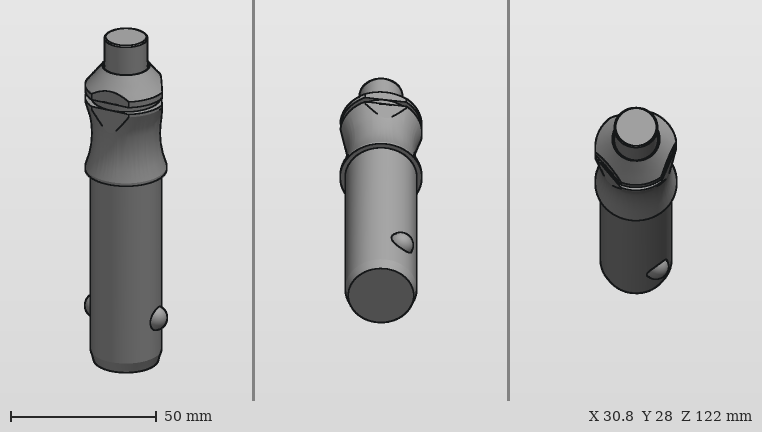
import cadquery as cq
import math

TOTAL_HEIGHT = 122.0
BODY_TAPER_HEIGHT = 4.0
GRIP_BOTTOM = 72.0
GRIP_TOP = 99.2
GRIP_RIM_HEIGHT = 1.1
HEAD_BOTTOM = 101.8
CONE_BOTTOM = 104.0
CONE_TOP = 110.2
HEAD_TOP = 111.3

BODY_RADIUS = 12.3
BODY_END_RADIUS = 11.2
RIM_RADIUS = 14.0
WAIST_RADIUS = 11.7
GROOVE_RADIUS = 12.0
CONE_TOP_RADIUS = 9.0
HEAD_TOP_RADIUS = 8.2
BUTTON_RADIUS = 7.5
BUTTON_CHAMFER = 0.5
BUTTON_BORE_RADIUS = 7.9
BUTTON_BORE_DEPTH = 1.0

FLAT_COUNT = 3
FLAT_DISTANCE = 12.1
FIRST_FLAT_ANGLE = -90.0

BALL_RADIUS = 4.4
BALL_REACH = 15.4
BALL_HEIGHT = 18.0


def grip_radius(height):
    """Radius of the concave grip, whose arc is tangent to the axis direction at the waist."""
    half_length = (GRIP_TOP - GRIP_BOTTOM) / 2 - GRIP_RIM_HEIGHT
    sag = RIM_RADIUS - WAIST_RADIUS
    arc_radius = (half_length**2 + sag**2) / (2 * sag)
    offset = height - (GRIP_BOTTOM + GRIP_TOP) / 2
    return WAIST_RADIUS + arc_radius - math.sqrt(arc_radius**2 - offset**2)


def make_turned_pin():
    """Body, waisted grip, grooved head and push button in its clearance bore, turned about Z."""
    waist = (GRIP_BOTTOM + GRIP_TOP) / 2
    arc_bottom = GRIP_BOTTOM + GRIP_RIM_HEIGHT
    arc_top = GRIP_TOP - GRIP_RIM_HEIGHT
    lower_mid = (arc_bottom + waist) / 2
    upper_mid = (waist + arc_top) / 2
    return (
        cq.Workplane("XZ")
        .lineTo(BODY_END_RADIUS, 0)
        .lineTo(BODY_RADIUS, BODY_TAPER_HEIGHT)
        .lineTo(BODY_RADIUS, GRIP_BOTTOM)
        .lineTo(RIM_RADIUS, GRIP_BOTTOM)
        .lineTo(RIM_RADIUS, arc_bottom)
        .threePointArc((grip_radius(lower_mid), lower_mid), (WAIST_RADIUS, waist))
        .threePointArc((grip_radius(upper_mid), upper_mid), (RIM_RADIUS, arc_top))
        .lineTo(RIM_RADIUS, GRIP_TOP)
        .lineTo(GROOVE_RADIUS, GRIP_TOP)
        .lineTo(GROOVE_RADIUS, HEAD_BOTTOM)
        .lineTo(RIM_RADIUS, HEAD_BOTTOM)
        .lineTo(RIM_RADIUS, CONE_BOTTOM)
        .lineTo(CONE_TOP_RADIUS, CONE_TOP)
        .lineTo(HEAD_TOP_RADIUS, HEAD_TOP)
        .lineTo(BUTTON_BORE_RADIUS, HEAD_TOP)
        .lineTo(BUTTON_BORE_RADIUS, HEAD_TOP - BUTTON_BORE_DEPTH)
        .lineTo(BUTTON_RADIUS, HEAD_TOP - BUTTON_BORE_DEPTH)
        .lineTo(BUTTON_RADIUS, TOTAL_HEIGHT - BUTTON_CHAMFER)
        .lineTo(BUTTON_RADIUS - BUTTON_CHAMFER, TOTAL_HEIGHT)
        .lineTo(0, TOTAL_HEIGHT)
        .close()
        .revolve(360, (0, 0, 0), (0, 1, 0))
    )


def make_flat_cutter(angle):
    """Block that leaves a flat at the given angle, from the waist to the top of the head."""
    waist = (GRIP_BOTTOM + GRIP_TOP) / 2
    block = cq.Workplane("XY").box(
        RIM_RADIUS, 2 * RIM_RADIUS, HEAD_TOP - waist, centered=(False, True, False)
    )
    return block.translate((FLAT_DISTANCE, 0, waist)).rotate((0, 0, 0), (0, 0, 1), angle)


def make_ball(side):
    """Locking ball standing out of the body on the +X (1) or -X (-1) side."""
    center_x = side * (BALL_REACH - BALL_RADIUS)
    return cq.Workplane("XY").sphere(BALL_RADIUS).translate((center_x, 0, BALL_HEIGHT))


result = make_turned_pin()
for index in range(FLAT_COUNT):
    result = result.cut(make_flat_cutter(FIRST_FLAT_ANGLE + index * 360 / FLAT_COUNT))
for side in (-1, 1):
    result = result.union(make_ball(side))